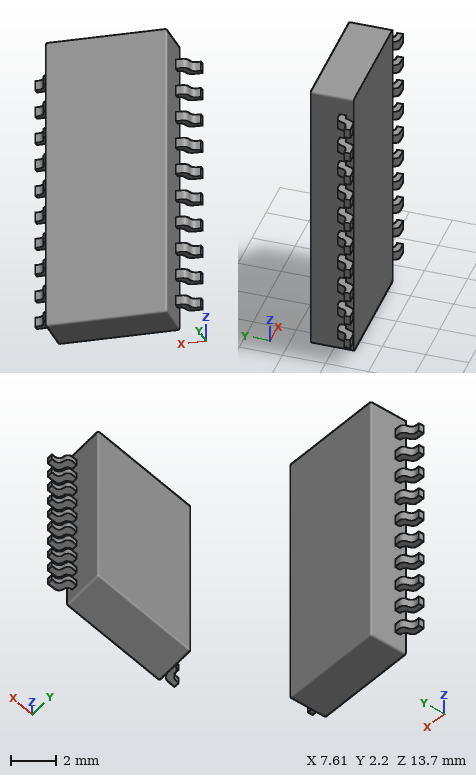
import cadquery as cq
import math

total_width = 7.61
total_depth = 2.2
body_length = 13.72

body_width = 5.6
standoff = 0.16
corner_radius = 0.12
back_edge_radius = 0.1

leads_per_side = 10
row_span = 11.43
lead_width = 0.44
lead_thickness = 0.29
lead_rise = 0.81
embed_length = 0.14

toe_length = 0.16
bend_radius = 0.29
leg_lean = math.radians(14)

sole_length = 0.4
sole_slope = math.radians(1.5)
lower_curve_lean = math.radians(15)

lead_pitch = row_span / (leads_per_side - 1)
lead_climb = lead_rise - lead_thickness
foot_y = -total_depth / 2
tip_x = -total_width / 2
body_side_x = -body_width / 2
root_x = body_side_x + embed_length


def upper_bend_points():
    """Start, middle and end of the lower arc, then start, middle and end of the upper arc."""
    sweep = math.pi / 2 - leg_lean
    arc_run = bend_radius * math.sin(sweep)
    arc_climb = bend_radius * (1 - math.cos(sweep))
    mid_run = bend_radius * math.sin(sweep / 2)
    mid_climb = bend_radius * (1 - math.cos(sweep / 2))
    leg_run = (lead_climb - 2 * arc_climb) * math.tan(leg_lean)
    start_x = tip_x + toe_length
    start_y = foot_y + lead_thickness
    end_x = start_x + 2 * arc_run + leg_run
    end_y = foot_y + lead_rise
    return [
        (start_x, start_y),
        (start_x + mid_run, start_y + mid_climb),
        (start_x + arc_run, start_y + arc_climb),
        (end_x - arc_run, end_y - arc_climb),
        (end_x - mid_run, end_y - mid_climb),
        (end_x, end_y),
    ]


def make_body():
    depth = total_depth - standoff
    block = cq.Workplane("XY").box(body_width, depth, body_length)
    block = block.edges("|Y").fillet(corner_radius)
    block = block.faces(">Y").edges().fillet(back_edge_radius)
    return block.translate((0, standoff / 2, 0))


def make_lead():
    """One lead on the -X side, centred on Z = 0."""
    upper = upper_bend_points()
    sole_end = (tip_x + sole_length, foot_y + sole_length * math.tan(sole_slope))
    lower_end = (body_side_x, foot_y + lead_climb)
    lower_middle = ((sole_end[0] + lower_end[0]) / 2, (sole_end[1] + lower_end[1]) / 2)
    sole_direction = (math.cos(sole_slope), math.sin(sole_slope))
    middle_direction = (math.sin(lower_curve_lean), math.cos(lower_curve_lean))
    profile = (
        cq.Workplane("XY", origin=(0, 0, -lead_width / 2))
        .moveTo(tip_x, foot_y)
        .lineTo(*sole_end)
        .spline(
            [lower_middle, lower_end],
            tangents=[sole_direction, middle_direction, sole_direction],
            includeCurrent=True,
        )
        .lineTo(root_x, lower_end[1])
        .lineTo(root_x, foot_y + lead_rise)
        .lineTo(*upper[5])
        .threePointArc(upper[4], upper[3])
        .lineTo(*upper[2])
        .threePointArc(upper[1], upper[0])
        .lineTo(tip_x, foot_y + lead_thickness)
        .close()
    )
    return profile.extrude(lead_width)


left_lead = make_lead()
right_lead = left_lead.mirror("YZ")

result = make_body()
for index in range(leads_per_side):
    lead_z = -row_span / 2 + index * lead_pitch
    for lead in (left_lead, right_lead):
        result = result.union(lead.translate((0, 0, lead_z)))